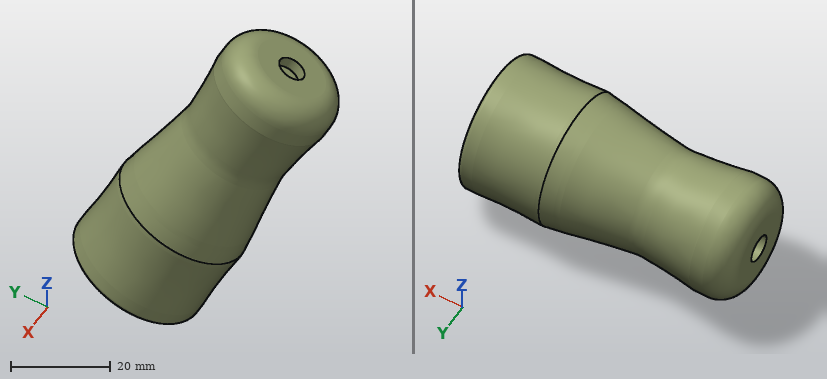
import cadquery as cq

length = 61.9
collar_diameter = 30.0
collar_radius = collar_diameter / 2
butt_radius = 13.3
waist_radius = 11.8

butt_fillet = 5.3
rim_fillet = 1.1

butt_end = 8.4
seam_width = 0.25
grip_start = butt_end + seam_width
waist_start = 20.0
waist_middle = 21.65
waist_end = 23.5
flare_end = 38.25
shoulder_start = 39.55
collar_start = 42.55
collar_land_start = collar_start + seam_width
collar_land_end = 43.85
rim_start = 58.4
rim_end = length - rim_fillet
dip_middle = (collar_land_end + rim_start) / 2

grip_start_radius = 13.25
grip_middle_radius = 12.45
waist_edge_radius = 11.95
flare_middle_radius = 13.0
flare_end_radius = 14.3
shoulder_radius = 14.5
collar_edge_radius = 14.9
dip_radius = 14.75

hole_radius = 3.0
hole_depth = 2.5


def fillet_middle(center_x, center_r, radius, direction):
    """Midpoint of a quarter-round whose outer side faces direction along X."""
    offset = radius * 0.5**0.5
    return (center_x + direction * offset, center_r + offset)


def build_body():
    """Revolve the half outline, drawn as (position along X, radius)."""
    butt_flat_radius = butt_radius - butt_fillet
    rim_flat_radius = collar_radius - rim_fillet
    grip_middle = (grip_start + waist_start) / 2
    flare_middle = (waist_end + flare_end) / 2

    outline = (
        cq.Workplane("XY")
        .lineTo(0, butt_flat_radius)
        .threePointArc(
            fillet_middle(butt_fillet, butt_flat_radius, butt_fillet, -1),
            (butt_fillet, butt_radius),
        )
        .lineTo(butt_end, butt_radius)
        .lineTo(grip_start, grip_start_radius)
        .threePointArc((grip_middle, grip_middle_radius), (waist_start, waist_edge_radius))
        .threePointArc((waist_middle, waist_radius), (waist_end, waist_edge_radius))
        .threePointArc((flare_middle, flare_middle_radius), (flare_end, flare_end_radius))
        .lineTo(shoulder_start, shoulder_radius)
        .lineTo(collar_start, collar_edge_radius)
        .lineTo(collar_land_start, collar_radius)
        .lineTo(collar_land_end, collar_radius)
        .threePointArc((dip_middle, dip_radius), (rim_start, collar_radius))
        .lineTo(rim_end, collar_radius)
        .threePointArc(
            fillet_middle(rim_end, rim_flat_radius, rim_fillet, 1),
            (length, rim_flat_radius),
        )
        .lineTo(length, 0)
        .close()
    )
    return outline.revolve(360, (0, 0, 0), (1, 0, 0))


def build_hole():
    return cq.Workplane("YZ").circle(hole_radius).extrude(hole_depth)


result = build_body().cut(build_hole())